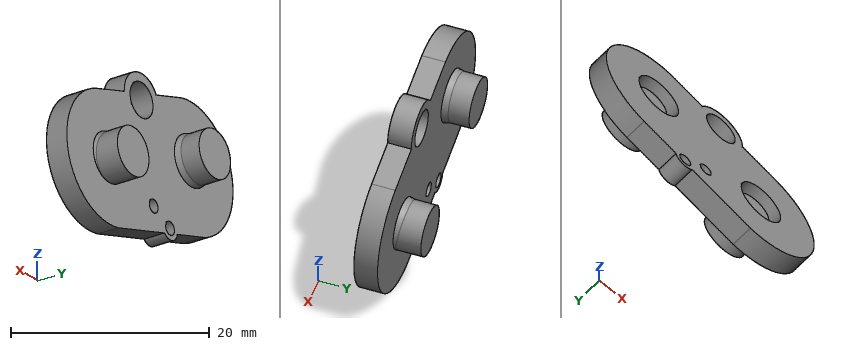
import cadquery as cq
import math

overall_length = 28.46
overall_height = 18.84
end_radius = 7.3
plate_thickness = 2.55
arc_shortening = 5.5

right_end = (0.0, 0.0)
left_end = (
    2 * end_radius - overall_length,
    overall_height - 2 * end_radius,
)

right_post = right_end
left_post = (-13.98, 4.97)
post_diameter = 5.4
overall_depth = 5.5
pocket_diameter = 5.4
groove_depth = 2.0
core_diameter = 4.0
core_recess = 1.0

flare_height = 0.7
flare_width = 0.17

large_hole = (-5.48, 8.54)
large_hole_diameter = 3.92
large_ear_radius = large_hole_diameter / 2 + 1.0
small_hole_diameter = 1.5
small_ear_radius = 1.28
ear_pin_hole = (-10.36, -3.87)
inner_pin_hole = (-7.56, -2.45)


def cylinder(center, radius, y_start, y_end):
    """Cylinder along Y between two depths."""
    x, z = center
    return cq.Workplane(
        cq.Solid.makeCylinder(radius, y_end - y_start, cq.Vector(x, y_start, z), cq.Vector(0, 1, 0))
    )


def cone(center, foot_radius, tip_radius, y_start, y_end):
    """Cone frustum along Y between two depths."""
    x, z = center
    return cq.Workplane(
        cq.Solid.makeCone(
            foot_radius, tip_radius, y_end - y_start, cq.Vector(x, y_start, z), cq.Vector(0, 1, 0)
        )
    )


def end_point(center, angle):
    """Point on a round end, at an angle in degrees counted from +X towards +Z."""
    return (
        center[0] + end_radius * math.cos(math.radians(angle)),
        center[1] + end_radius * math.sin(math.radians(angle)),
    )


def make_plate():
    """Round-ended plate with an ear around each edge hole."""
    side_angle = math.degrees(
        math.atan2(right_end[1] - left_end[1], right_end[0] - left_end[0])
    )
    upper_tangent = side_angle + 90
    lower_tangent = side_angle - 90
    plate = (
        cq.Workplane("XZ")
        .moveTo(*end_point(left_end, upper_tangent + arc_shortening))
        .lineTo(*end_point(right_end, upper_tangent))
        .threePointArc(
            end_point(right_end, side_angle),
            end_point(right_end, lower_tangent + arc_shortening),
        )
        .lineTo(*end_point(left_end, lower_tangent))
        .threePointArc(
            end_point(left_end, side_angle + 180),
            end_point(left_end, upper_tangent + arc_shortening),
        )
        .close()
        .extrude(-plate_thickness)
    )
    plate = plate.union(cylinder(large_hole, large_ear_radius, 0, plate_thickness))
    return plate.union(cylinder(ear_pin_hole, small_ear_radius, 0, plate_thickness))


def make_post(center, flare_shift):
    """Post with a flared foot; a shifted flare fades out on its lower side."""
    post = cylinder(center, post_diameter / 2, 0, overall_depth)
    flare_center = (center[0], center[1] + flare_shift)
    base_radius = post_diameter / 2 + flare_width - flare_shift
    flare = cone(
        flare_center,
        base_radius,
        base_radius - flare_width,
        plate_thickness,
        plate_thickness + flare_height,
    )
    return post.union(flare)


def make_pocket(center):
    """Pocket volume: a full-width recess that continues as a groove around the core."""
    pocket = cylinder(center, pocket_diameter / 2, 0, groove_depth)
    core = cylinder(center, core_diameter / 2, core_recess, groove_depth)
    return pocket.cut(core)


result = make_plate()
result = result.union(make_post(left_post, 0))
result = result.union(make_post(right_post, flare_width / 2))
for post_center in (left_post, right_post):
    result = result.cut(make_pocket(post_center))
result = result.cut(cylinder(large_hole, large_hole_diameter / 2, 0, plate_thickness))
for pin_hole in (ear_pin_hole, inner_pin_hole):
    result = result.cut(cylinder(pin_hole, small_hole_diameter / 2, 0, plate_thickness))